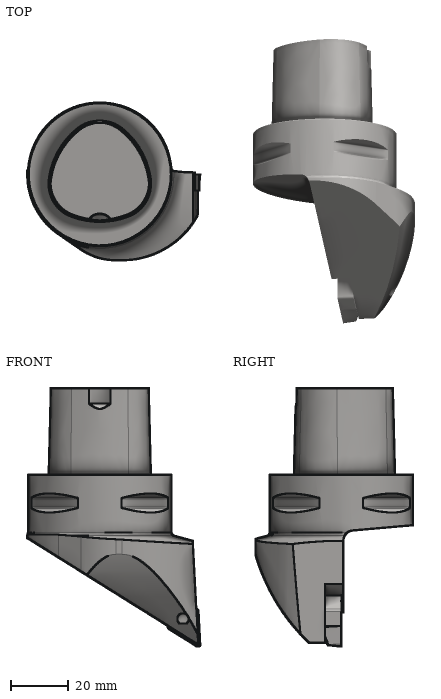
import cadquery as cq
import math


SHANK_HEIGHT = 30.0
SHANK_TAPER = 1 / 40
LOBE_OFFSET = 6.4
LOBE_RADIUS = 12.3
SIDE_OFFSET = 10.8
LOBE_COUNT = 3

NOTCH_RADIUS = 4.5
NOTCH_CENTER_Y = -18.2
NOTCH_DEPTH = 5.4
NOTCH_TIP = 3.5

FLANGE_RADIUS = 25.0
FLANGE_BOTTOM = -20.3
FLANGE_CHAMFER = 0.3
SLOT_COUNT = 4
SLOT_Z = -10.0
SLOT_FLOOR_RADIUS = 22.2
SLOT_FLOOR_HEIGHT = 3.4
SLOT_SIDE_ANGLE = 30
SLOT_CORNER = 0.45
SLOT_OVERCUT = 0.9

SKIRT_RADIUS = 25.3
SHOULDER_ANGLE = 15
SHOULDER_FILLET = 1.1
FRONT_Y = -30.0
LEFT_ARC_X = 5.6
LEFT_ARC_RADIUS = 21.3
RIGHT_ARC_X = 7.7
RIGHT_ARC_RADIUS = 30.0
FRONT_ANGLE = -90
BACK_Y = 0.7
UNDERCUT_Z = -19.9
UNDERCUT_ANGLE = 5
UNDERCUT_FILLET = 3.5
SCOOP_Y = 36.4
SCOOP_Z = -8.7
SCOOP_RADIUS = 69.0
SCREW_X = 29.0
SCREW_Z = -50.4
SCREW_DIAMETER = 4.0
SCREW_FLOOR_Y = -17.5
HEAD_NOSE_RADIUS = 0.6
OVERSIZE = 72

NOSE_RADIUS = 0.8
TIP_X = 35.0
TIP_Z = -60.0
SIDE_LEAN = 3
POINT_ANGLE = 55
INSERT_SIDE = 13.5
INSERT_THICKNESS = 5.7
INSERT_CORNER = 1.2
CLEARANCE_ANGLE = 6
CLEARANCE_LENGTH = 7.9
TIP_CHAMFER_HEIGHT = 1.7
TIP_CHAMFER_LENGTH = 4.05
EDGE_OVERHANG = 0.7
POCKET_LENGTH = 20.4

HALF_POINT = math.radians(POINT_ANGLE / 2)
LOWER_LEAN = 90 - SIDE_LEAN - POINT_ANGLE
BISECTOR = math.radians(90 + SIDE_LEAN + POINT_ANGLE / 2)
NOSE_TO_CORNER = NOSE_RADIUS / math.sin(HALF_POINT)
CORNER_X = TIP_X - NOSE_RADIUS - NOSE_TO_CORNER * math.cos(BISECTOR)
CORNER_Z = TIP_Z + NOSE_RADIUS - NOSE_TO_CORNER * math.sin(BISECTOR)
INSERT_PLANE = cq.Plane(
    origin=(CORNER_X, 0, CORNER_Z),
    xDir=(math.cos(BISECTOR), 0, math.sin(BISECTOR)),
    normal=(0, -1, 0),
)


def polar(radius, degrees, center=(0, 0)):
    angle = math.radians(degrees)
    return center[0] + radius * math.cos(angle), center[1] + radius * math.sin(angle)


def shank_outline(z, inset):
    """Closed three-lobed outline of tangent arcs, drawn inset from the foot outline."""
    lobe_radius = LOBE_RADIUS - inset
    spread = 180 / LOBE_COUNT
    lobe_x, lobe_y = polar(LOBE_OFFSET, spread)
    side_normal = math.degrees(math.atan2(lobe_y, lobe_x + SIDE_OFFSET))
    side_radius = lobe_radius + math.hypot(lobe_y, lobe_x + SIDE_OFFSET)
    lobe_half = spread - side_normal

    first_center = polar(LOBE_OFFSET, 90)
    outline = cq.Workplane("XY", origin=(0, 0, z)).moveTo(*polar(lobe_radius, 90 - lobe_half, first_center))
    for i in range(LOBE_COUNT):
        lobe = 90 + 2 * spread * i
        next_lobe = lobe + 2 * spread
        lobe_center = polar(LOBE_OFFSET, lobe)
        next_center = polar(LOBE_OFFSET, next_lobe)
        side = lobe + spread
        side_center = polar(SIDE_OFFSET, side + 180)
        outline = outline.threePointArc(
            polar(lobe_radius, lobe, lobe_center), polar(lobe_radius, lobe + lobe_half, lobe_center)
        )
        outline = outline.threePointArc(
            polar(side_radius, side, side_center), polar(lobe_radius, next_lobe - lobe_half, next_center)
        )
    return outline.close().wires().val()


def make_shank():
    foot = shank_outline(0, 0)
    top = shank_outline(SHANK_HEIGHT, SHANK_HEIGHT * SHANK_TAPER)
    return cq.Workplane(cq.Solid.makeLoft([foot, top], True))


def make_notch():
    """Round drive notch with a conical floor, cut into the front of the shank top."""
    shoulder_z = SHANK_HEIGHT - NOTCH_DEPTH
    profile = [
        (0, SHANK_HEIGHT),
        (NOTCH_RADIUS, SHANK_HEIGHT),
        (NOTCH_RADIUS, shoulder_z),
        (0, shoulder_z - NOTCH_TIP),
    ]
    drill = cq.Workplane("XZ").polyline(profile).close().revolve(360, (0, 0), (0, 1))
    return drill.translate((0, NOTCH_CENTER_Y, 0))


def make_gripper_slots():
    reach = FLANGE_RADIUS + SLOT_OVERCUT - SLOT_FLOOR_RADIUS
    floor_half = SLOT_FLOOR_HEIGHT / 2
    mouth_half = floor_half + reach * math.tan(math.radians(SLOT_SIDE_ANGLE))
    profile = [(0, -floor_half), (reach, -mouth_half), (reach, mouth_half), (0, floor_half)]
    slot = (
        cq.Workplane("XZ").polyline(profile).close()
        .extrude(FLANGE_RADIUS, both=True)
        .edges("|Y and <X").fillet(SLOT_CORNER)
        .translate((SLOT_FLOOR_RADIUS, 0, SLOT_Z))
    )
    pitch = 360 / SLOT_COUNT
    slots = cq.Workplane("XY")
    for i in range(SLOT_COUNT):
        slots = slots.add(slot.rotate((0, 0, 0), (0, 0, 1), pitch * (i + 0.5)))
    return slots.combine()


def make_turned_blank():
    """Flange running through a fillet into the conical shoulder above the head."""
    turn = math.radians(90 - SHOULDER_ANGLE)
    slope = math.tan(math.radians(SHOULDER_ANGLE))
    fillet_x = FLANGE_RADIUS + SHOULDER_FILLET
    end_angle = 180 + math.degrees(turn)
    fillet_center = (fillet_x, FLANGE_BOTTOM)
    fillet_mid = polar(SHOULDER_FILLET, 180 + math.degrees(turn) / 2, fillet_center)
    fillet_end = polar(SHOULDER_FILLET, end_angle, fillet_center)
    rim_z = fillet_end[1] - (OVERSIZE - fillet_end[0]) * slope
    return (
        cq.Workplane("XZ")
        .moveTo(0, 0)
        .lineTo(FLANGE_RADIUS - FLANGE_CHAMFER, 0)
        .lineTo(FLANGE_RADIUS, -FLANGE_CHAMFER)
        .lineTo(FLANGE_RADIUS, FLANGE_BOTTOM)
        .threePointArc(fillet_mid, fillet_end)
        .lineTo(OVERSIZE, rim_z)
        .lineTo(OVERSIZE, -OVERSIZE)
        .lineTo(0, -OVERSIZE)
        .close()
        .revolve(360, (0, 0), (0, 1))
    )


def make_plan_prism():
    """Head seen along Z: skirt arc, tangent line, two front arcs and an open right end."""
    left_center = (LEFT_ARC_X, FRONT_Y + LEFT_ARC_RADIUS)
    right_center = (RIGHT_ARC_X, FRONT_Y + RIGHT_ARC_RADIUS)
    center_angle = math.degrees(math.atan2(left_center[1], left_center[0]))
    center_gap = math.hypot(*left_center)
    tangent_angle = center_angle - math.degrees(math.acos((SKIRT_RADIUS - LEFT_ARC_RADIUS) / center_gap))
    right_end = polar(RIGHT_ARC_RADIUS, 0, right_center)
    skirt_end_y = BACK_Y + 2 * UNDERCUT_FILLET
    skirt_end_angle = math.degrees(math.asin(skirt_end_y / SKIRT_RADIUS))
    skirt_mid_angle = (skirt_end_angle + tangent_angle + 360) / 2
    return (
        cq.Workplane("XY")
        .moveTo(*polar(SKIRT_RADIUS, skirt_end_angle))
        .threePointArc(polar(SKIRT_RADIUS, skirt_mid_angle), polar(SKIRT_RADIUS, tangent_angle))
        .lineTo(*polar(LEFT_ARC_RADIUS, tangent_angle, left_center))
        .threePointArc(
            polar(LEFT_ARC_RADIUS, (tangent_angle + FRONT_ANGLE) / 2, left_center), (LEFT_ARC_X, FRONT_Y)
        )
        .lineTo(RIGHT_ARC_X, FRONT_Y)
        .threePointArc(polar(RIGHT_ARC_RADIUS, FRONT_ANGLE / 2, right_center), right_end)
        .lineTo(right_end[0], skirt_end_y)
        .close()
        .extrude(-OVERSIZE)
    )


def make_side_prism():
    """Space above the sloping underside and inside the leaning outer wall."""
    lower = math.radians(LOWER_LEAN)
    side = math.radians(SIDE_LEAN)
    lower_shift = EDGE_OVERHANG / math.cos(lower)
    wall_shift = EDGE_OVERHANG / math.cos(side)
    rise = (lower_shift + math.tan(lower) * wall_shift) / (1 - math.tan(lower) * math.tan(side))
    nose = (CORNER_X - wall_shift - rise * math.tan(side), CORNER_Z + rise)
    wall_top = (nose[0] + nose[1] * math.tan(side), 0)
    far_left = (-OVERSIZE / 2, nose[1] + (nose[0] + OVERSIZE / 2) * math.tan(lower))
    return (
        cq.Workplane("XZ")
        .polyline([nose, wall_top, (far_left[0], 0), far_left]).close()
        .extrude(OVERSIZE, both=True)
        .edges("|Y and <Z").fillet(HEAD_NOSE_RADIUS)
    )


def make_undercut():
    """Everything behind the flat back, up to a sloping roof under the flange."""
    roof_end_z = UNDERCUT_Z + (OVERSIZE - BACK_Y) * math.tan(math.radians(UNDERCUT_ANGLE))
    profile = [(BACK_Y, UNDERCUT_Z), (OVERSIZE, roof_end_z), (OVERSIZE, -OVERSIZE), (BACK_Y, -OVERSIZE)]
    return (
        cq.Workplane("YZ").polyline(profile).close()
        .extrude(OVERSIZE, both=True)
        .edges(cq.NearestToPointSelector((0, BACK_Y, UNDERCUT_Z))).fillet(UNDERCUT_FILLET)
    )


def make_scoop():
    """Clearance outside a large cylinder lying along X, below the flange only."""
    block = cq.Workplane("XY").box(2 * OVERSIZE, OVERSIZE, OVERSIZE, centered=(True, False, False))
    block = block.translate((0, -OVERSIZE, FLANGE_BOTTOM - OVERSIZE))
    barrel = cq.Workplane("YZ").center(SCOOP_Y, SCOOP_Z).circle(SCOOP_RADIUS).extrude(OVERSIZE, both=True)
    return block.cut(barrel)


def make_screw_seat():
    """Flat-bottomed round seat sunk into the scoop from the front."""
    return (
        cq.Workplane("XZ", origin=(SCREW_X, SCREW_FLOOR_Y, SCREW_Z))
        .circle(SCREW_DIAMETER / 2)
        .extrude(OVERSIZE)
    )


def insert_prism(taper=0):
    """Diamond with rounded corners, narrowing away from its top face by the taper angle."""
    half_length = INSERT_SIDE * math.cos(HALF_POINT)
    half_width = INSERT_SIDE * math.sin(HALF_POINT)
    corners = [(0, 0), (half_length, -half_width), (2 * half_length, 0), (half_length, half_width), (0, 0)]
    outline = (
        cq.Sketch().polygon(corners)
        .vertices("<X").fillet(NOSE_RADIUS).reset()
        .vertices(">X or <Y or >Y").fillet(INSERT_CORNER)
    )
    return cq.Workplane(INSERT_PLANE).placeSketch(outline).extrude(INSERT_THICKNESS, taper=taper)


def insert_zone(length, height):
    """Block reaching from beyond the nose to the given length along the bisector."""
    return (
        cq.Workplane(INSERT_PLANE)
        .center(length - OVERSIZE / 2, 0)
        .rect(OVERSIZE, OVERSIZE)
        .extrude(height)
    )


def make_insert():
    """Straight-sided back, clearance faces beside the nose and a chamfer under it."""
    clearance_zone = insert_zone(CLEARANCE_LENGTH * math.cos(HALF_POINT), INSERT_THICKNESS)
    body = insert_prism().cut(clearance_zone).union(insert_prism(CLEARANCE_ANGLE))
    chamfer_profile = [
        (0, INSERT_THICKNESS),
        (TIP_CHAMFER_LENGTH, INSERT_THICKNESS),
        (0, INSERT_THICKNESS - TIP_CHAMFER_HEIGHT),
    ]
    chamfer_plane = cq.Plane(INSERT_PLANE.origin, INSERT_PLANE.xDir, INSERT_PLANE.yDir * -1)
    chamfer = cq.Workplane(chamfer_plane).polyline(chamfer_profile).close().extrude(OVERSIZE, both=True)
    return body.cut(chamfer)


def make_pocket():
    """Recess for the insert, open towards the nose and through the flat back of the head."""
    seat = insert_zone(POCKET_LENGTH, INSERT_THICKNESS)
    back_opening = insert_zone(POCKET_LENGTH, -BACK_Y)
    return seat.union(back_opening).union(insert_prism())


def make_holder():
    head = make_turned_blank().intersect(make_plan_prism()).intersect(make_side_prism())
    head = head.cut(make_undercut()).cut(make_scoop()).cut(make_screw_seat()).cut(make_pocket())
    return head.cut(make_gripper_slots()).union(make_shank().cut(make_notch()))


holder = make_holder()
insert = make_insert()
result = cq.Compound.makeCompound([holder.val(), insert.val()])